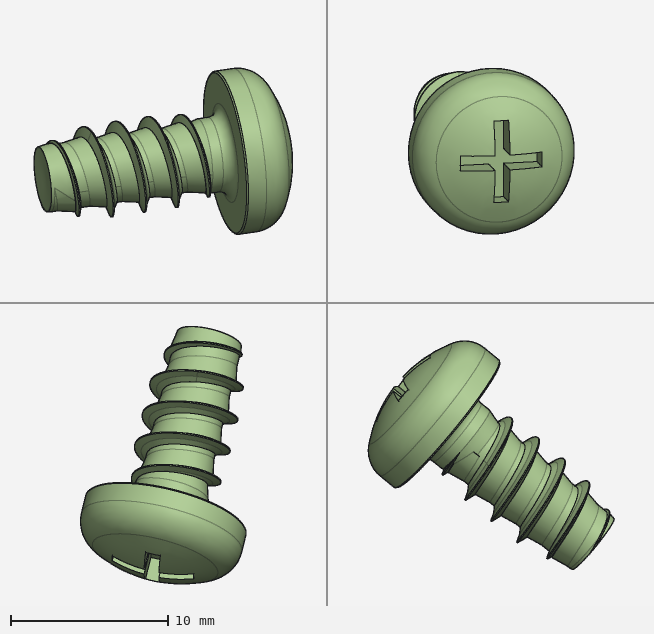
import cadquery as cq
import math


length_axis = [(0, 0, 0), (0, 1, 0)]

head_diameter = 10.5
head_radius = head_diameter / 2
head_height = 4.15
rim_height = 1.29
rim_fillet = 0.1
dome_edge_radius = 4.1
dome_edge_height = 3.1
dome_rise = head_height - dome_edge_height
dome_radius = (dome_edge_radius**2 + dome_rise**2) / (2 * dome_rise)
shoulder_radius = 2.0
recess_span = 5.32
recess_wing_width = 0.97
recess_depth = 1.93

shank_length = 12.01
neck_radius = 2.4
neck_fillet = 0.77
neck_end = 1.47
neck_taper_length = 0.97
root_radius = 2.13
tip_radius = 2.1
tip_cone_slope = 0.16
dimple_radius = 2.02
dimple_depth = 0.16

pitch = 2.15
thread_offset = 1.8
crest_radius = 3.0
crest_width = 0.08
lead_in_start = -0.25
lead_in_turns = 1.0
lead_in_drop = 0.4
lead_out_start = 3.25
lead_out_turns = 1.75
lead_out_drop = 1.02

ridge_base_radius = 1.77
ridge_section = [
    (-0.45, ridge_base_radius),
    (-0.45, root_radius),
    (-0.21, 2.51),
    (-crest_width / 2, crest_radius),
    (crest_width / 2, crest_radius),
    (0.27, 2.32),
    (0.35, ridge_base_radius),
]

collar_base_radius = 1.97
collar_section = [
    (-0.06, collar_base_radius),
    (0.2, 2.34),
    (1.34, root_radius),
    (1.42, collar_base_radius),
]


def arc_middle(start, end, radius):
    """Middle point of the minor arc that bulges away from the axis and upwards (-Z)."""
    half_x = (end[0] - start[0]) / 2
    half_z = (end[1] - start[1]) / 2
    half_chord = math.hypot(half_x, half_z)
    rise = radius - math.sqrt(radius**2 - half_chord**2)
    return (
        start[0] + half_x + half_z / half_chord * rise,
        start[1] + half_z - half_x / half_chord * rise,
    )


def head_and_neck():
    apex = (0, -head_height)
    dome_edge = (dome_edge_radius, -dome_edge_height)
    side_top = (head_radius, -rim_height)
    return (
        cq.Workplane("XZ")
        .moveTo(*apex)
        .threePointArc(arc_middle(apex, dome_edge, dome_radius), dome_edge)
        .threePointArc(arc_middle(dome_edge, side_top, shoulder_radius), side_top)
        .lineTo(head_radius, -rim_fillet)
        .radiusArc((head_radius - rim_fillet, 0), rim_fillet)
        .lineTo(neck_radius + neck_fillet, 0)
        .radiusArc((neck_radius, neck_fillet), neck_fillet)
        .lineTo(neck_radius, neck_end)
        .lineTo(root_radius, neck_end + neck_taper_length)
        .lineTo(0, neck_end + neck_taper_length)
        .close()
        .revolve(360, *length_axis)
    )


def threaded_core():
    return cq.Workplane("XY").circle(root_radius).extrude(shank_length).intersect(tip_cone())


def tip_cone():
    """Cone that trims the core and the collar to the tip radius."""
    return (
        cq.Workplane("XZ")
        .polyline([
            (0, 0),
            (tip_radius + tip_cone_slope * shank_length, 0),
            (tip_radius, shank_length),
            (0, shank_length),
        ])
        .close()
        .revolve(360, *length_axis)
    )


def helix(offset, start_turn, turns, start_radius, end_radius):
    """Right-handed helix about Z whose radius changes evenly along its length."""
    height = turns * pitch
    slope = math.atan2(end_radius - start_radius, height)
    slant = math.cos(slope)
    cone_angle = math.degrees(slope) if slope else 360
    wire = cq.Wire.makeHelix(pitch / slant, height / slant, start_radius, angle=cone_angle)
    wire = wire.rotate(cq.Vector(0, 0, 0), cq.Vector(0, 0, 1), 360 * start_turn)
    return wire.translate(cq.Vector(0, 0, thread_offset + start_turn * pitch + offset)).Edges()[0]


def helical_solid(section, stages):
    """Carry a section along the thread.

    Each stage is (start turn, turns, radial drop at its start, radial drop at its end).
    """
    faces = []
    rails = []
    for start_turn, turns, start_drop, end_drop in stages:
        rails = [
            helix(offset, start_turn, turns, radius - start_drop, radius - end_drop)
            for offset, radius in section
        ]
        if not faces:
            faces.append(end_cap([rail.startPoint() for rail in rails]))
        for rail, next_rail in zip(rails, rails[1:] + rails[:1]):
            faces.append(cq.Face.makeRuledSurface(rail, next_rail))
    faces.append(end_cap([rail.endPoint() for rail in rails]))
    solid = cq.Solid.makeSolid(cq.Shell.makeShell(faces))
    return cq.Workplane(solid.fix())


def end_cap(points):
    return cq.Face.makeFromWires(cq.Wire.makePolygon(points, close=True))


def thread():
    full_start = lead_in_start + lead_in_turns
    full_turns = lead_out_start - full_start
    ridge = helical_solid(ridge_section, [
        (lead_in_start, lead_in_turns, lead_in_drop, 0),
        (full_start, full_turns, 0, 0),
        (lead_out_start, lead_out_turns, 0, lead_out_drop),
    ])
    collar_turns = lead_out_start + lead_out_turns - lead_in_start
    collar = helical_solid(collar_section, [(lead_in_start, collar_turns, 0, 0)])
    threaded_length = (
        cq.Workplane("XY")
        .workplane(offset=neck_end)
        .circle(head_radius)
        .extrude(shank_length - neck_end)
    )
    ridge = ridge.intersect(threaded_length)
    collar = collar.intersect(threaded_length).intersect(tip_cone())
    return ridge, collar


def cross_recess():
    wing = (
        cq.Workplane("XY")
        .workplane(offset=recess_depth - head_height)
        .rect(recess_span, recess_wing_width)
        .extrude(-2 * recess_depth)
    )
    return wing.union(wing.rotate((0, 0, 0), (0, 0, 1), 90))


def tip_dimple():
    return (
        cq.Workplane("XZ")
        .polyline([(0, shank_length), (dimple_radius, shank_length), (0, shank_length - dimple_depth)])
        .close()
        .revolve(360, *length_axis)
    )


ridge, collar = thread()
screw = head_and_neck().union(threaded_core()).union(collar).union(ridge)
screw = screw.cut(cross_recess()).cut(tip_dimple())
result = screw.rotate((0, 0, 0), (1, 0, 0), 90)